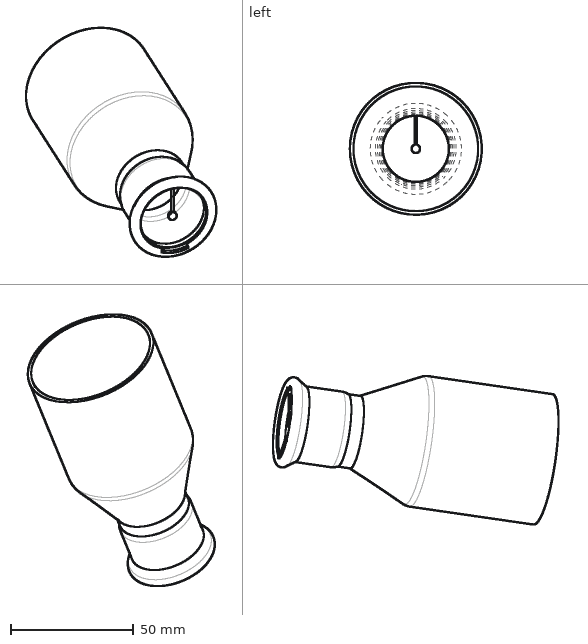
import cadquery as cq
import math

TOTAL_LENGTH = 110.0
LIP_HEIGHT = 0.4
MOUTH_X = TOTAL_LENGTH - LIP_HEIGHT

SPIGOT_RADIUS = 54.0 / 2
NECK_RADIUS = 30.0 / 2
SOCKET_RADIUS = 31.4 / 2

SPIGOT_BORE_RADIUS = 51.0 / 2
NECK_BORE_RADIUS = 27.0 / 2
SOCKET_BORE_RADIUS = 28.2 / 2
MOUTH_RADIUS = 28.8 / 2

SPIGOT_END_X = 52.1
CONE_END_X = 79.0
STEP_START_X = 84.3
STEP_END_X = 86.9
FLARE_START_X = 102.1
SHOULDER_RADIUS = 5.4

FLARE_END_ANGLE = math.radians(140)
BEAD_RADIUS = 37.3 / 2
CROWN_RADIUS = 2.3
CROWN_X = MOUTH_X - CROWN_RADIUS
CROWN_CENTER_RADIUS = BEAD_RADIUS - CROWN_RADIUS

LIP_HALF_WIDTH = 5.8
LIP_OUTER_RADIUS = 15.6

SEAL_START_X = 105.0
SEAL_END_X = 107.8
SEAL_OUTER_RADIUS = 16.5
SPOKE_WIDTH = 1.0
TAB_RADIUS = 1.8
TAB_THICKNESS = 1.0
TAB_START_X = (SEAL_START_X + SEAL_END_X - TAB_THICKNESS) / 2

SHOULDER_CENTER_RADIUS = SPIGOT_RADIUS - SHOULDER_RADIUS
CONE_RUN = CONE_END_X - SPIGOT_END_X
CONE_FALL = SHOULDER_CENTER_RADIUS - NECK_RADIUS
CONE_ANGLE = math.atan2(CONE_FALL, CONE_RUN) + math.asin(SHOULDER_RADIUS / math.hypot(CONE_RUN, CONE_FALL))
INNER_SHOULDER_RADIUS = SPIGOT_BORE_RADIUS - SHOULDER_CENTER_RADIUS


def shoulder_point(radius, angle):
    """Point on a shoulder arc, turned by angle from its top toward the cone."""
    x = SPIGOT_END_X + radius * math.sin(angle)
    return x, SHOULDER_CENTER_RADIUS + radius * math.cos(angle)


def arc_point(center_x, center_radius, radius, angle):
    """Point on an arc, at an angle from the +X direction."""
    return center_x + radius * math.cos(angle), center_radius + radius * math.sin(angle)


def ring(start_x, length, outer_radius, inner_radius):
    """Flat-sided ring around the axis."""
    plane = cq.Workplane("YZ", origin=(start_x, 0, 0))
    return plane.circle(outer_radius).circle(inner_radius).extrude(length)


def make_shell():
    """Thin-walled reducer, revolved around the axis."""
    step_rise = SOCKET_RADIUS - NECK_RADIUS
    step_run = STEP_END_X - STEP_START_X
    step_arc_radius = (step_run ** 2 + step_rise ** 2) / (2 * step_rise)
    step_angle = math.pi / 2 + math.asin(step_run / step_arc_radius) / 2

    flare_end = arc_point(CROWN_X, CROWN_CENTER_RADIUS, CROWN_RADIUS, FLARE_END_ANGLE)
    rim_x = CROWN_X + math.sqrt(CROWN_RADIUS ** 2 - (CROWN_CENTER_RADIUS - MOUTH_RADIUS) ** 2)

    inner_cone_start = shoulder_point(INNER_SHOULDER_RADIUS, CONE_ANGLE)
    inner_cone_run = (inner_cone_start[1] - NECK_BORE_RADIUS) / math.tan(CONE_ANGLE)

    profile = (
        cq.Workplane("XY")
        .moveTo(0, SPIGOT_BORE_RADIUS)
        .lineTo(0, SPIGOT_RADIUS)
        .lineTo(SPIGOT_END_X, SPIGOT_RADIUS)
        .threePointArc(
            shoulder_point(SHOULDER_RADIUS, CONE_ANGLE / 2),
            shoulder_point(SHOULDER_RADIUS, CONE_ANGLE),
        )
        .lineTo(CONE_END_X, NECK_RADIUS)
        .lineTo(STEP_START_X, NECK_RADIUS)
        .threePointArc(
            arc_point(STEP_END_X, SOCKET_RADIUS - step_arc_radius, step_arc_radius, step_angle),
            (STEP_END_X, SOCKET_RADIUS),
        )
        .lineTo(FLARE_START_X, SOCKET_RADIUS)
        .lineTo(*flare_end)
        .threePointArc(
            (MOUTH_X, CROWN_CENTER_RADIUS),
            (rim_x, MOUTH_RADIUS),
        )
        .lineTo(SEAL_END_X, MOUTH_RADIUS)
        .lineTo(SEAL_END_X, SOCKET_BORE_RADIUS)
        .lineTo(STEP_END_X, SOCKET_BORE_RADIUS)
        .lineTo(STEP_START_X, NECK_BORE_RADIUS)
        .lineTo(inner_cone_start[0] + inner_cone_run, NECK_BORE_RADIUS)
        .lineTo(*inner_cone_start)
        .threePointArc(
            shoulder_point(INNER_SHOULDER_RADIUS, CONE_ANGLE / 2),
            (SPIGOT_END_X, SPIGOT_BORE_RADIUS),
        )
        .close()
    )
    return profile.revolve(360, (0, 0, 0), (1, 0, 0))


def make_lip():
    """Raised arc at the bottom of the mouth, sunk into the shell so that it joins it."""
    lip_length = TOTAL_LENGTH - SEAL_END_X
    half_angle = math.asin(LIP_HALF_WIDTH / LIP_OUTER_RADIUS)
    wedge_reach = 2 * LIP_OUTER_RADIUS
    wedge_half_width = wedge_reach * math.tan(half_angle)
    wedge = (
        cq.Workplane("YZ", origin=(SEAL_END_X, 0, 0))
        .polyline([(0, 0), (-wedge_half_width, -wedge_reach), (wedge_half_width, -wedge_reach)])
        .close()
        .extrude(lip_length)
    )
    return ring(SEAL_END_X, lip_length, LIP_OUTER_RADIUS, MOUTH_RADIUS).intersect(wedge)


def make_seal_ring():
    """Seal ring that fills the groove inside the bead."""
    return ring(SEAL_START_X, SEAL_END_X - SEAL_START_X, SEAL_OUTER_RADIUS, SOCKET_BORE_RADIUS)


def make_fitting():
    """Reducer with its raised lip and the groove for the seal."""
    return make_shell().union(make_lip()).cut(make_seal_ring())


def make_seal():
    """Seal ring with the spoke and the central tab."""
    plane = cq.Workplane("YZ", origin=(TAB_START_X, 0, 0))
    spoke_length = (SOCKET_BORE_RADIUS + SEAL_OUTER_RADIUS) / 2
    spoke = plane.center(0, spoke_length / 2).rect(SPOKE_WIDTH, spoke_length).extrude(TAB_THICKNESS)
    tab = plane.circle(TAB_RADIUS).extrude(TAB_THICKNESS)
    return make_seal_ring().union(spoke).union(tab)


fitting = make_fitting()
seal = make_seal()

result = cq.Compound.makeCompound([fitting.val(), seal.val()])